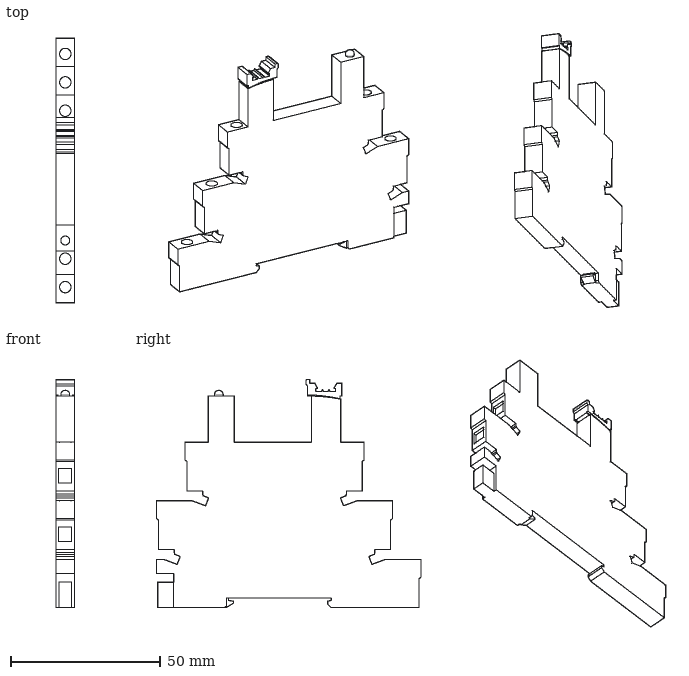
import cadquery as cq


THICKNESS = 6.3
LENGTH = 88.5
HEIGHT = 76.4
HALF_LENGTH = LENGTH / 2

TIER_REACH_PITCH = 9.5
TIER_HEIGHT_PITCH = 19.6
FIRST_TIER_TOP = 16.2
TOP_LEVEL = 2
TIER_UNDERSIDE_RISE = 3.2
LIP_DEPTH = 0.65
LIP_STRAIGHT = 6.0
LIP_CHAMFER = 0.5

NOTCH_RAMP_START = (11.95, 0)
NOTCH_RAMP_END = (16.4, -1.65)
NOTCH_TIP = (17.4, 0.9)
NOTCH_STEP_LOW = (15.6, 1.65)
NOTCH_STEP_HIGH = (15.4, 2.2)

SCREW_HOLE_DIAMETER = 3.8
SCREW_HOLE_DEPTH = 1.9
SCREW_HOLE_INSET = 5.25
POCKET_WIDTH = 4.45
POCKET_HEIGHT = 4.9
POCKET_DEPTH = 1.0
POCKET_CENTER_X = -0.1
POCKET_DROP = 11.25

CAP_POST_FRONT = 7.6
CAP_POST_REAR = 17.4
LAMP_POST_FRONT = -27.0
LAMP_POST_REAR = -18.2
LAMP_POST_TOP = 70.85
LAMP_DIAMETER = 3.0
LAMP_COLLAR = 0.4
LAMP_Y = -23.4

SEAT_REAR_Z = 69.75
SEAT_MIDDLE_Y = 12.5
SEAT_MIDDLE_Z = 70.5
SEAT_FRONT_Z = 70.8

GAP_DEPTH = 0.7
GAP_REAR_HEIGHT = 0.1
GAP_FRONT_HEIGHT = 0.4

CAP_REAR = 17.75
CAP_SKIRT_REAR = 17.2
CAP_FRONT = 6.2
CAP_TOP = 75.1
CAP_SKIRT_Z = 70.8
CAP_FLOOR_Z = 72.4
CAP_FLOOR_REAR = 15.6
CAP_FLOOR_FRONT = 9.1
CAP_CATCH_Z = 73.3
CAP_CATCH_TOP = 73.65
CAP_CATCH_REAR = 15.15
CAP_CATCH_FRONT = 9.55
CAP_BEVEL_REAR = 16.1
CAP_BEVEL_FRONT = 8.75
BEAD_REAR = 7.05
BEAD_FRONT = 5.7
BEAD_BEVEL_Y = 6.2
BEAD_BEVEL_DROP = 0.25
BEAD_LOW_Z = 74.8
BEAD_ROOT_Z = 74.2
RIB_CENTERS = (13.45, 11.3)
RIB_WIDTH = 0.7
RIB_HEIGHT = 0.6

RECESS_Z = 3.25
RECESS_REAR = 14.2
RECESS_FRONT = -20.9
RECESS_CORNER = 0.6
HOOK_TOP = 2.2
HOOK_TOP_ROOT = 2.5
REAR_HOOK_TIP = 13.0
REAR_HOOK_LOW = 1.2
FRONT_HOOK_ROOT = -20.15
FRONT_HOOK_TIP = -18.45
FRONT_HOOK_LOW = 1.5

SLOT_TOP = 11.4
SLOT_BACK = -38.5
TAB_TOP = 8.6
TAB_FRONT = -43.9
SLIDER_WIDTH = 4.2


def tier_top(level):
    return FIRST_TIER_TOP + level * TIER_HEIGHT_PITCH


def rear_reach(level):
    return HALF_LENGTH - level * TIER_REACH_PITCH


def front_reach(level):
    """The front tiers sit one pitch further out, so the lowest is cut off by the body end."""
    return rear_reach(level - 1)


def lip_points(reach, top):
    """Outer edge of a tier, from its body up over the lip to the top face."""
    lip_bottom = top - LIP_STRAIGHT
    return [
        (reach - LIP_DEPTH, lip_bottom - LIP_CHAMFER),
        (reach, lip_bottom),
        (reach, top),
    ]


def notch_points(reach, top):
    """Notch over a tier, ending at the underside corner of the next tier."""
    corners = [NOTCH_RAMP_START, NOTCH_RAMP_END, NOTCH_TIP, NOTCH_STEP_LOW, NOTCH_STEP_HIGH]
    points = [(reach - inset, top + rise) for inset, rise in corners]
    underside = top + TIER_UNDERSIDE_RISE
    points.append((reach - NOTCH_STEP_HIGH[0], underside))
    points.append((reach - TIER_REACH_PITCH - LIP_DEPTH, underside))
    return points


def extrude_outline(outline, width=THICKNESS, center_x=0.0):
    """Extrude a closed Y-Z outline to both sides of center_x."""
    return outline.extrude(width / 2, both=True).translate((center_x, 0, 0))


def polygon(points, width=THICKNESS, center_x=0.0):
    return extrude_outline(cq.Workplane("YZ").polyline(points).close(), width, center_x)


def box_between(y_low, y_high, z_low, z_high, width=THICKNESS, center_x=0.0):
    corners = [(y_low, z_low), (y_high, z_low), (y_high, z_high), (y_low, z_high)]
    return polygon(corners, width, center_x)


def make_body():
    rear = [(rear_reach(0) - LIP_DEPTH, 0)]
    for level in range(TOP_LEVEL + 1):
        rear += lip_points(rear_reach(level), tier_top(level))
        if level < TOP_LEVEL:
            rear += notch_points(rear_reach(level), tier_top(level))

    front = [(-SLOT_BACK, 0), (-SLOT_BACK, SLOT_TOP)]
    front += [(HALF_LENGTH, SLOT_TOP), (HALF_LENGTH, tier_top(0))]
    for level in range(TOP_LEVEL):
        front += notch_points(front_reach(level), tier_top(level))
        front += lip_points(front_reach(level + 1), tier_top(level + 1))
    front = [(-reach, z) for reach, z in front]

    recess = [
        (RECESS_FRONT - RECESS_CORNER, 0),
        (RECESS_FRONT, RECESS_CORNER),
        (RECESS_FRONT, RECESS_Z),
        (RECESS_REAR, RECESS_Z),
        (RECESS_REAR, HOOK_TOP_ROOT),
        (REAR_HOOK_TIP, HOOK_TOP),
        (REAR_HOOK_TIP, REAR_HOOK_LOW),
        (RECESS_REAR, 0),
    ]
    return polygon(recess + rear + front[::-1])


def make_slider():
    """Front tab and rail hook, narrower than the body."""
    tab = box_between(TAB_FRONT, SLOT_BACK, 0, TAB_TOP, SLIDER_WIDTH)
    hook_points = [
        (RECESS_FRONT - RECESS_CORNER, 0),
        (RECESS_FRONT, 0),
        (FRONT_HOOK_TIP, FRONT_HOOK_LOW),
        (FRONT_HOOK_TIP, HOOK_TOP),
        (FRONT_HOOK_ROOT, HOOK_TOP_ROOT),
        (FRONT_HOOK_ROOT, RECESS_Z),
        (RECESS_FRONT - RECESS_CORNER, RECESS_Z),
    ]
    return tab.union(polygon(hook_points, SLIDER_WIDTH))


def make_lamp_post():
    post = box_between(LAMP_POST_FRONT, LAMP_POST_REAR, tier_top(TOP_LEVEL), LAMP_POST_TOP)
    radius = LAMP_DIAMETER / 2
    dome_base = LAMP_POST_TOP + LAMP_COLLAR
    lamp = (
        cq.Workplane("XZ", origin=(0, LAMP_Y, 0))
        .moveTo(0, LAMP_POST_TOP)
        .lineTo(radius, LAMP_POST_TOP)
        .lineTo(radius, dome_base)
        .radiusArc((0, dome_base + radius), -radius)
        .close()
        .revolve(360, (0, 0), (0, 1))
    )
    return post.union(lamp)


def make_cap_post():
    outline = (
        cq.Workplane("YZ")
        .moveTo(CAP_POST_FRONT, tier_top(TOP_LEVEL))
        .lineTo(CAP_POST_REAR, tier_top(TOP_LEVEL))
        .lineTo(CAP_POST_REAR, SEAT_REAR_Z)
        .threePointArc((SEAT_MIDDLE_Y, SEAT_MIDDLE_Z), (CAP_POST_FRONT, SEAT_FRONT_Z))
        .close()
    )
    return extrude_outline(outline)


def make_cap():
    """Clip-shaped cap, whose underside runs into the post."""
    outline = (
        cq.Workplane("YZ")
        .moveTo(CAP_REAR, CAP_SKIRT_Z)
        .lineTo(CAP_REAR, CAP_TOP)
        .lineTo(CAP_BEVEL_REAR, CAP_TOP)
        .lineTo(CAP_CATCH_REAR, CAP_CATCH_TOP)
        .lineTo(CAP_CATCH_REAR, CAP_CATCH_Z)
        .lineTo(CAP_FLOOR_REAR, CAP_CATCH_Z)
        .lineTo(CAP_FLOOR_REAR, CAP_FLOOR_Z)
        .lineTo(CAP_FLOOR_FRONT, CAP_FLOOR_Z)
        .lineTo(CAP_FLOOR_FRONT, CAP_CATCH_Z)
        .lineTo(CAP_CATCH_FRONT, CAP_CATCH_Z)
        .lineTo(CAP_CATCH_FRONT, CAP_CATCH_TOP)
        .lineTo(CAP_BEVEL_FRONT, CAP_TOP)
        .lineTo(BEAD_REAR, CAP_TOP)
        .lineTo(BEAD_REAR, HEIGHT)
        .lineTo(BEAD_BEVEL_Y, HEIGHT)
        .lineTo(BEAD_FRONT, HEIGHT - BEAD_BEVEL_DROP)
        .lineTo(BEAD_FRONT, BEAD_LOW_Z)
        .lineTo(CAP_FRONT, BEAD_ROOT_Z)
        .lineTo(CAP_FRONT, SEAT_FRONT_Z)
        .lineTo(CAP_POST_FRONT, SEAT_FRONT_Z)
        .lineTo(CAP_SKIRT_REAR, SEAT_REAR_Z)
        .lineTo(CAP_SKIRT_REAR, CAP_SKIRT_Z)
        .close()
    )
    cap = extrude_outline(outline)
    for center in RIB_CENTERS:
        ridge = [
            (center - RIB_WIDTH / 2, CAP_FLOOR_Z),
            (center + RIB_WIDTH / 2, CAP_FLOOR_Z),
            (center, CAP_FLOOR_Z + RIB_HEIGHT),
        ]
        cap = cap.union(polygon(ridge))
    return cap


def cut_seat_gap(part):
    """Separate cap and post along both side faces, leaving the core between them whole."""
    gap_middle_z = SEAT_MIDDLE_Z + (GAP_REAR_HEIGHT + GAP_FRONT_HEIGHT) / 2
    gap_front_z = SEAT_FRONT_Z + GAP_FRONT_HEIGHT
    outline = (
        cq.Workplane("YZ")
        .moveTo(CAP_POST_REAR, SEAT_REAR_Z)
        .threePointArc((SEAT_MIDDLE_Y, SEAT_MIDDLE_Z), (CAP_POST_FRONT, SEAT_FRONT_Z))
        .lineTo(CAP_FRONT, SEAT_FRONT_Z)
        .lineTo(CAP_FRONT, gap_front_z)
        .lineTo(CAP_POST_FRONT, gap_front_z)
        .threePointArc((SEAT_MIDDLE_Y, gap_middle_z), (CAP_POST_REAR, SEAT_REAR_Z + GAP_REAR_HEIGHT))
        .close()
    )
    gap = extrude_outline(outline, GAP_DEPTH)
    side_offset = (THICKNESS - GAP_DEPTH) / 2
    for center_x in (-side_offset, side_offset):
        part = part.cut(gap.translate((center_x, 0, 0)))
    return part


def cut_screw_hole(part, y, top):
    hole = (
        cq.Workplane("XY", origin=(0, y, top))
        .circle(SCREW_HOLE_DIAMETER / 2)
        .extrude(-SCREW_HOLE_DEPTH)
    )
    return part.cut(hole)


def cut_wire_pocket(part, level):
    face_y = -(front_reach(level) - LIP_DEPTH)
    center_z = tier_top(level) - POCKET_DROP
    pocket = box_between(
        face_y,
        face_y + POCKET_DEPTH,
        center_z - POCKET_HEIGHT / 2,
        center_z + POCKET_HEIGHT / 2,
        POCKET_WIDTH,
        POCKET_CENTER_X,
    )
    return part.cut(pocket)


result = make_body().union(make_slider()).union(make_lamp_post())
for level in range(TOP_LEVEL + 1):
    result = cut_screw_hole(result, rear_reach(level) - SCREW_HOLE_INSET, tier_top(level))
for level in range(1, TOP_LEVEL + 1):
    result = cut_screw_hole(result, SCREW_HOLE_INSET - front_reach(level), tier_top(level))
    result = cut_wire_pocket(result, level)
result = result.union(make_cap_post()).union(make_cap())
result = cut_seat_gap(result)